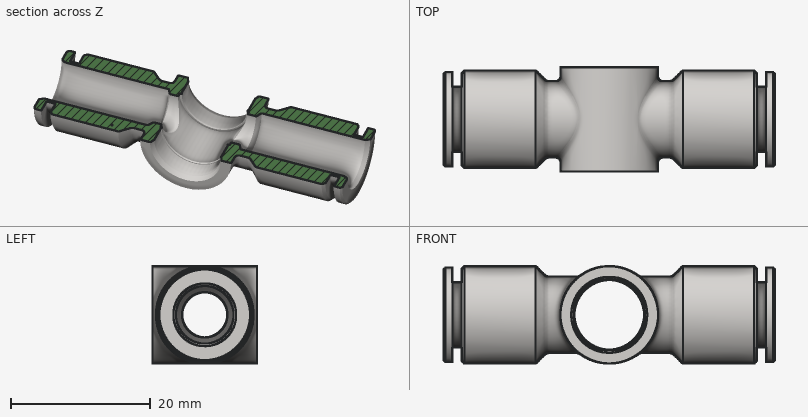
import cadquery as cq

total_length = 47.4
half_length = total_length / 2

flange_radius = 6.8
flange_width = 1.25
flange_chamfer = 0.3
collar_radius = 4.7

outer_diameter = 14.0
socket_radius = outer_diameter / 2
socket_start = 2.55
socket_end = 13.2
socket_chamfer = 0.45

neck_radius = 5.5
shoulder_length = socket_radius - neck_radius
shoulder_blend_radius = 0.65
hub_blend_radius = 0.55

bore_mouth_radius = 4.5
tube_seat_radius = 4.12
passage_diameter = 6.45
passage_radius = passage_diameter / 2
passage_half_length = 6.65
seat_cone_length = 0.5
bore_mouth_depth = 0.65

hub_radius = outer_diameter / 2
hub_length = 15.0
hub_bore_radius = 5.1
hub_lip_radius = 5.0
hub_lip_outer = 4.1
hub_lip_width = 0.3
hub_chamber_radius = 5.3
hub_mouth_radius = 5.45
hub_mouth_depth = 0.75

margin = 0.05


def revolve_about_x(points):
    """Revolve an (x, radius) outline about the X axis."""
    return cq.Workplane("XY").polyline(points).close().revolve(360, (0, 0, 0), (1, 0, 0))


def revolve_about_y(points):
    """Revolve a (radius, y) outline about the Y axis."""
    return cq.Workplane("XY").polyline(points).close().revolve(360, (0, 0, 0), (0, 1, 0))


def with_mirror(points):
    """Continue a left-hand (x, radius) outline with its mirror image at +X."""
    return points + [(-x, radius) for x, radius in reversed(points)]


def make_run():
    flange_back = -half_length + flange_width
    socket_face = -half_length + socket_start
    shoulder_start = -half_length + socket_end
    shoulder_end = shoulder_start + shoulder_length
    run = revolve_about_x(with_mirror([
        (-half_length, 0),
        (-half_length, flange_radius - flange_chamfer),
        (-half_length + flange_chamfer, flange_radius),
        (flange_back, flange_radius),
        (flange_back, collar_radius),
        (socket_face, collar_radius),
        (socket_face, socket_radius - socket_chamfer),
        (socket_face + socket_chamfer, socket_radius),
        (shoulder_start, socket_radius),
        (shoulder_end, neck_radius),
    ]))
    for side in (-1, 1):
        corner = cq.selectors.BoxSelector(
            (side * (-shoulder_end - margin), -socket_radius, -socket_radius),
            (side * (-shoulder_end + margin), socket_radius, socket_radius),
        )
        run = run.edges("%CIRCLE").edges(corner).fillet(shoulder_blend_radius)
    return run


def make_run_bore():
    mouth_end = -half_length + bore_mouth_depth
    seat_end = -passage_half_length - seat_cone_length
    return revolve_about_x(with_mirror([
        (-half_length, 0),
        (-half_length, bore_mouth_radius),
        (mouth_end, tube_seat_radius),
        (seat_end, tube_seat_radius),
        (-passage_half_length, passage_radius),
    ]))


def make_hub():
    return cq.Workplane("XZ").circle(hub_radius).extrude(hub_length / 2, both=True)


def make_hub_bore():
    face = hub_length / 2
    mouth_end = face - hub_mouth_depth
    lip_inner = hub_lip_outer - hub_lip_width
    half_profile = [
        (0, -face),
        (hub_mouth_radius, -face),
        (hub_bore_radius, -mouth_end),
        (hub_bore_radius, -hub_lip_outer),
        (hub_lip_radius, -hub_lip_outer),
        (hub_lip_radius, -lip_inner),
        (hub_chamber_radius, -lip_inner),
    ]
    profile = half_profile + [(radius, -y) for radius, y in reversed(half_profile)]
    return revolve_about_y(profile)


def blend_neck_into_hub(body):
    """Fillet the two saddle-shaped seams between the necks and the hub."""
    seam_zone = cq.selectors.BoxSelector(
        (-hub_radius - margin, -neck_radius - margin, -neck_radius - margin),
        (hub_radius + margin, neck_radius + margin, neck_radius + margin),
        boundingbox=True,
    )
    return body.edges(seam_zone).fillet(hub_blend_radius)


body = blend_neck_into_hub(make_run().union(make_hub()))
result = body.cut(make_run_bore()).cut(make_hub_bore())